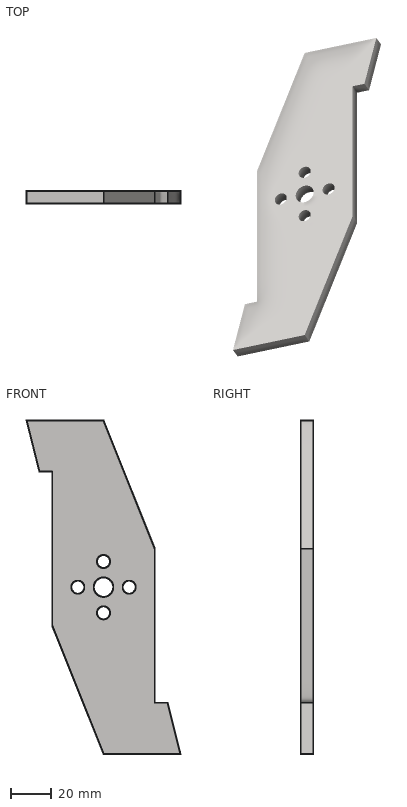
import cadquery as cq

INCH = 25.4

thickness = 0.25 * INCH
half_length = 3.25 * INCH
body_half_width = 1.0 * INCH
tip_reach = 1.5 * INCH
hook_root_reach = 1.25 * INCH
hook_root_height = 2.25 * INCH
taper_start_height = 0.75 * INCH

center_bore_diameter = 0.375 * INCH
bolt_hole_diameter = 0.25 * INCH
bolt_circle_radius = 0.5 * INCH
bolt_count = 4


def blade_outline():
    """Corners of the whole blade: the upper half, then its half-turn copy."""
    upper_half = [
        (body_half_width, taper_start_height),
        (0, half_length),
        (-tip_reach, half_length),
        (-hook_root_reach, hook_root_height),
        (-body_half_width, hook_root_height),
    ]
    lower_half = [(-x, -z) for x, z in upper_half]
    return upper_half + lower_half


def make_blade():
    """Solid plate with its two flat faces at Y = +/- half the thickness."""
    back_plane = cq.Workplane("XZ", origin=(0, thickness / 2, 0))
    return back_plane.polyline(blade_outline()).close().extrude(thickness)


def drill_holes(blade):
    """Cut the centre bore and the bolt circle around it, all through the plate."""
    bored = blade.faces("<Y").workplane(origin=(0, 0, 0)).hole(center_bore_diameter)
    return (
        bored.faces("<Y")
        .workplane(origin=(0, 0, 0))
        .polarArray(bolt_circle_radius, 0, 360, bolt_count)
        .hole(bolt_hole_diameter)
    )


result = drill_holes(make_blade())